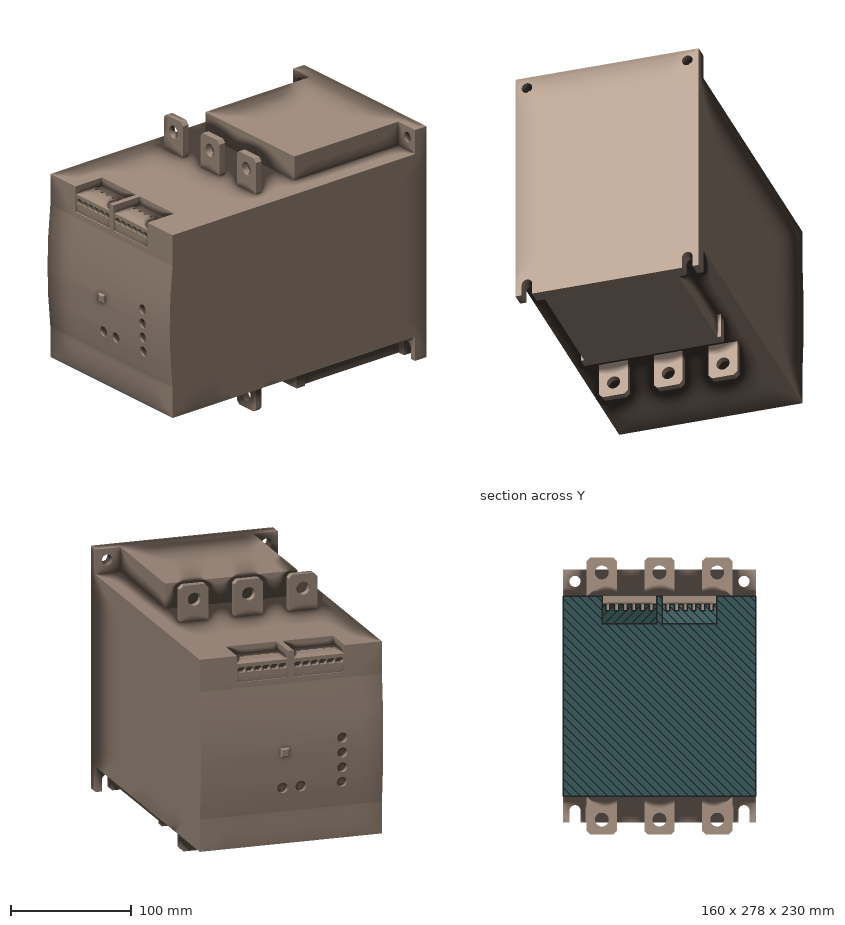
import cadquery as cq

WIDTH = 160.0
HOUSING_HEIGHT = 166.2
HOUSING_DEPTH = 238.0
PLATE_HEIGHT = 210.0
PLATE_THICKNESS = 12.2
RISER_WIDTH = 116.5
RISER_DEPTH = 123.7
FOOT_WIDTH = 122.3
FOOT_START = 114.8
MOUNT_HOLE_DIAMETER = 9.2
MOUNT_HOLE_X = 70.0
MOUNT_HOLE_Z = 95.0

OVERALL_HEIGHT = 230.0
TAB_WIDTH = 25.0
TAB_THICKNESS = 6.0
TAB_DEPTH = 160.5
TAB_PITCH = 47.8
TAB_CHAMFER = 3.0
TAB_HOLE_DIAMETER = 11.5
TAB_HOLE_INSET = 12.5

COVER_DEPTH = 272.0
CROWN_HEIGHT = 110.6
CROWN_DEPTH = 275.0
OVERALL_DEPTH = 278.0
RECESS_DEPTH = 2.8
LAMP_DIAMETER = 8.5
LAMP_X = 44.2
LAMP_COUNT = 4
LOWEST_LAMP_Z = -34.5
HIGHEST_LAMP_Z = 4.2
LAMP_PITCH = (HIGHEST_LAMP_Z - LOWEST_LAMP_Z) / (LAMP_COUNT - 1)
KEY_DIAMETER = 9.2
KEY_X = 8.0
BUTTON_SIZE = 7.2
BUTTON_X = -7.0
BUTTON_Z = -3.0
BUTTON_CHAMFER = 0.8

TERMINAL_WIDTH = 44.8
TERMINAL_GAP = 5.0
TERMINAL_X = (TERMINAL_WIDTH + TERMINAL_GAP) / 2
TERMINAL_BOTTOM = 60.0
TERMINAL_TOP = 76.5
TERMINAL_REAR = 243.2
LEDGE_FRONT = 247.7
RIDGE_REAR = 252.5
RIDGE_FRONT = 262.7
TERMINAL_FRONT = 270.8
LEDGE_DROP = 1.0
NOSE_DROP = 0.7
POLES = 6
POLE_PITCH = 7.2
SCREW_HOLE_DIAMETER = 3.0
WIRE_HOLE_DIAMETER = 4.7
WIRE_HOLE_SPREAD = 2.2
WIRE_HOLE_Z = 70.3
TERMINAL_HOLE_DEPTH = 5.5


def block(width, rear, front, bottom, top, x=0):
    """Box centred on x, between two depths and two heights."""
    size = (width, front - rear, top - bottom)
    return cq.Workplane("XY").box(*size).translate((x, -(rear + front) / 2, (bottom + top) / 2))


def rod(diameter, x, z, rear, front):
    """Round bar along Y between two depths."""
    plane = cq.Workplane("XZ", origin=(x, -rear, z))
    return plane.circle(diameter / 2).extrude(front - rear)


def make_housing():
    """Housing with its rear plate, the riser in front of the plate and the mounting holes."""
    half_plate = PLATE_HEIGHT / 2
    body = block(WIDTH, 0, HOUSING_DEPTH, -HOUSING_HEIGHT / 2, HOUSING_HEIGHT / 2)
    body = body.union(block(WIDTH, 0, PLATE_THICKNESS, -half_plate, half_plate))
    body = body.union(block(RISER_WIDTH, 0, RISER_DEPTH, -half_plate, half_plate))
    body = body.union(block(FOOT_WIDTH, FOOT_START, RISER_DEPTH, -half_plate, 0))
    for x in (-MOUNT_HOLE_X, MOUNT_HOLE_X):
        for z in (-MOUNT_HOLE_Z, MOUNT_HOLE_Z):
            body = body.cut(rod(MOUNT_HOLE_DIAMETER, x, z, 0, PLATE_THICKNESS))
        slot = block(MOUNT_HOLE_DIAMETER, 0, PLATE_THICKNESS, -half_plate, -MOUNT_HOLE_Z, x)
        body = body.cut(slot)
    return body


def make_tab(x, side):
    """Busbar tab standing on the housing top (side = 1) or bottom (side = -1)."""
    root = HOUSING_HEIGHT / 2
    tip = OVERALL_HEIGHT / 2
    front = TAB_DEPTH + TAB_THICKNESS
    tab = block(TAB_WIDTH, TAB_DEPTH, front, root, tip, x)
    tab = tab.edges("|Y and >Z").chamfer(TAB_CHAMFER)
    tab = tab.cut(rod(TAB_HOLE_DIAMETER, x, tip - TAB_HOLE_INSET, TAB_DEPTH, front))
    if side < 0:
        tab = tab.mirror("XY")
    return tab


def make_cover():
    """Crowned front cover with terminal pockets, lamp and key recesses and a button."""
    half_height = HOUSING_HEIGHT / 2
    half_crown = CROWN_HEIGHT / 2
    profile = (
        cq.Workplane("YZ", origin=(-WIDTH / 2, 0, 0))
        .moveTo(-HOUSING_DEPTH, -half_height)
        .lineTo(-COVER_DEPTH, -half_height)
        .lineTo(-COVER_DEPTH, -half_crown)
        .threePointArc((-CROWN_DEPTH, 0), (-COVER_DEPTH, half_crown))
        .lineTo(-COVER_DEPTH, half_height)
        .lineTo(-HOUSING_DEPTH, half_height)
        .close()
    )
    cover = profile.extrude(WIDTH)

    for x in (-TERMINAL_X, TERMINAL_X):
        pocket = block(TERMINAL_WIDTH, TERMINAL_REAR, COVER_DEPTH, TERMINAL_BOTTOM, half_height, x)
        cover = cover.cut(pocket)

    recess_floor = COVER_DEPTH - RECESS_DEPTH
    for row in range(LAMP_COUNT):
        z = LOWEST_LAMP_Z + row * LAMP_PITCH
        cover = cover.cut(rod(LAMP_DIAMETER, LAMP_X, z, recess_floor, CROWN_DEPTH))
    for x in (-KEY_X, KEY_X):
        cover = cover.cut(rod(KEY_DIAMETER, x, LOWEST_LAMP_Z, recess_floor, CROWN_DEPTH))

    bottom = BUTTON_Z - BUTTON_SIZE / 2
    top = BUTTON_Z + BUTTON_SIZE / 2
    button = block(BUTTON_SIZE, COVER_DEPTH, OVERALL_DEPTH, bottom, top, BUTTON_X)
    button = button.faces("<Y").edges().chamfer(BUTTON_CHAMFER)
    return cover.union(button)


def make_terminal(x):
    """Terminal block with a screw hole and a double wire hole for each pole."""
    outline = [
        (-TERMINAL_REAR, TERMINAL_BOTTOM),
        (-TERMINAL_FRONT, TERMINAL_BOTTOM),
        (-TERMINAL_FRONT, TERMINAL_TOP - NOSE_DROP),
        (-RIDGE_FRONT, TERMINAL_TOP),
        (-RIDGE_REAR, TERMINAL_TOP),
        (-LEDGE_FRONT, TERMINAL_TOP - LEDGE_DROP),
        (-TERMINAL_REAR, TERMINAL_TOP - LEDGE_DROP),
    ]
    plane = cq.Workplane("YZ", origin=(x - TERMINAL_WIDTH / 2, 0, 0))
    terminal = plane.polyline(outline).close().extrude(TERMINAL_WIDTH)

    wire_rear = TERMINAL_FRONT - TERMINAL_HOLE_DEPTH
    for pole in range(POLES):
        pole_x = x + (pole - (POLES - 1) / 2) * POLE_PITCH
        screw_hole = (
            cq.Workplane("XY", origin=(pole_x, -RIDGE_REAR, TERMINAL_TOP))
            .circle(SCREW_HOLE_DIAMETER / 2)
            .extrude(-TERMINAL_HOLE_DEPTH)
        )
        terminal = terminal.cut(screw_hole)
        for shift in (-WIRE_HOLE_SPREAD / 2, WIRE_HOLE_SPREAD / 2):
            hole = rod(WIRE_HOLE_DIAMETER, pole_x + shift, WIRE_HOLE_Z, wire_rear, TERMINAL_FRONT)
            terminal = terminal.cut(hole)
    return terminal


housing = make_housing()
cover = make_cover()
terminals = [make_terminal(x) for x in (-TERMINAL_X, TERMINAL_X)]
tabs = [make_tab(x, side) for side in (1, -1) for x in (-TAB_PITCH, 0, TAB_PITCH)]

bodies = [housing, cover, *terminals, *tabs]
result = cq.Compound.makeCompound([body.val() for body in bodies])